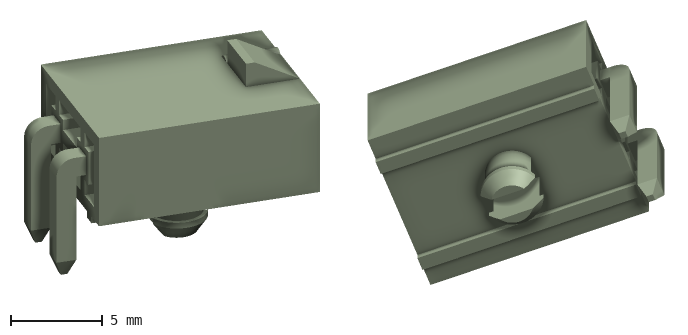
import cadquery as cq


overall_length = 14.47
body_width = 9.6
body_length = 12.76
body_height = 5.37
wall = 0.78

pin_pitch = 4.2
pin_thickness = 1.15
pin_reach = overall_length - body_length
pin_top = 3.27
pin_drop = 3.9
bend_radius = 1.01
tip_length = 0.97
tip_width = 0.38

recess_depth = 2.17
recess_width = 7.93
core_block_width = 1.91
core_block_height = 2.0
core_block_top = body_height - 1.66
core_stem_width = 0.62
bridge_top = body_height - 2.29
bridge_height = 0.78

latch_width = 3.07
latch_length = 3.13
latch_height = 1.42
latch_flat = 0.5
bead_width = 0.77
bead_height = 0.19

rail_width = 0.78
rail_height = 0.39
rail_spacing = 6.37

peg_y = 6.16
peg_slot_width = 1.3
shank_radius = 1.49
collar_radius = 1.72
peg_tip_radius = 1.16
collar_start = 2.18
collar_end = 2.53
peg_length = 3.37

pin_positions = (-pin_pitch / 2, pin_pitch / 2)


def box(width, length, height, x, y_start, z_start):
    """Box centred on x, growing in +Y and +Z from the given start values."""
    return (
        cq.Workplane("XY")
        .box(width, length, height, centered=(True, False, False))
        .translate((x, y_start, z_start))
    )


def make_recess():
    """Space to remove from the housing: a rectangular pocket around the core."""
    pocket_height = body_height - 2 * wall
    recess = box(recess_width, recess_depth, pocket_height, 0, 0, wall)
    core = box(pin_pitch, recess_depth, bridge_height, 0, 0, bridge_top - bridge_height)
    block_base = core_block_top - core_block_height
    for x in pin_positions:
        core = core.union(box(core_block_width, recess_depth, core_block_height, x, 0, block_base))
        core = core.union(box(core_stem_width, recess_depth, pocket_height, x, 0, wall))
    return recess.cut(core)


def make_pin(x):
    """Square pin that leaves the housing, bends down and ends in a four-sided point."""
    pin_bottom = -pin_drop + tip_length
    inner_y = pin_thickness - pin_reach
    bent_bar = (
        cq.Workplane("YZ")
        .moveTo(0, pin_top)
        .lineTo(bend_radius - pin_reach, pin_top)
        .radiusArc((-pin_reach, pin_top - bend_radius), -bend_radius)
        .lineTo(-pin_reach, pin_bottom)
        .lineTo(inner_y, pin_bottom)
        .lineTo(inner_y, pin_top - pin_thickness)
        .lineTo(0, pin_top - pin_thickness)
        .close()
        .extrude(pin_thickness / 2, both=True)
    )
    point = (
        cq.Workplane("XY", origin=(0, pin_thickness / 2 - pin_reach, pin_bottom))
        .rect(pin_thickness, pin_thickness)
        .workplane(offset=-tip_length)
        .rect(tip_width, tip_width)
        .loft(ruled=True)
    )
    return bent_bar.union(point).translate((x, 0, 0))


def make_latch():
    """Ramp that rises from the mating end of the housing to a short flat."""
    latch_front = body_length - latch_length
    latch_top = body_height + latch_height
    return (
        cq.Workplane("YZ")
        .moveTo(body_length, body_height)
        .lineTo(latch_front + latch_flat, latch_top)
        .lineTo(latch_front, latch_top)
        .lineTo(latch_front, body_height)
        .close()
        .extrude(latch_width / 2, both=True)
    )


def make_bead():
    """Rounded bead beside the latch, in line with the left pin."""
    x = pin_positions[0]
    return (
        cq.Workplane("XZ", origin=(x, body_length, body_height))
        .moveTo(-bead_width / 2, 0)
        .threePointArc((0, bead_height), (bead_width / 2, 0))
        .close()
        .extrude(latch_length)
    )


def make_peg():
    """Round collared peg with a tapered end, split in two by a slot along Y."""
    peg = (
        cq.Workplane("XZ")
        .moveTo(0, 0)
        .lineTo(shank_radius, 0)
        .lineTo(shank_radius, -collar_start)
        .lineTo(collar_radius, -collar_start)
        .lineTo(collar_radius, -collar_end)
        .lineTo(peg_tip_radius, -peg_length)
        .lineTo(0, -peg_length)
        .close()
        .revolve(360, (0, 0), (0, 1))
    )
    slot = box(peg_slot_width, 2 * collar_radius, peg_length, 0, -collar_radius, -peg_length)
    return peg.cut(slot).translate((0, peg_y, 0))


housing = box(body_width, body_length, body_height, 0, 0, 0).cut(make_recess())
result = housing.union(make_latch()).union(make_bead()).union(make_peg())
for side in (-1, 1):
    rail = box(rail_width, body_length, rail_height, side * rail_spacing / 2, 0, -rail_height)
    result = result.union(rail)
for pin_x in pin_positions:
    result = result.union(make_pin(pin_x))